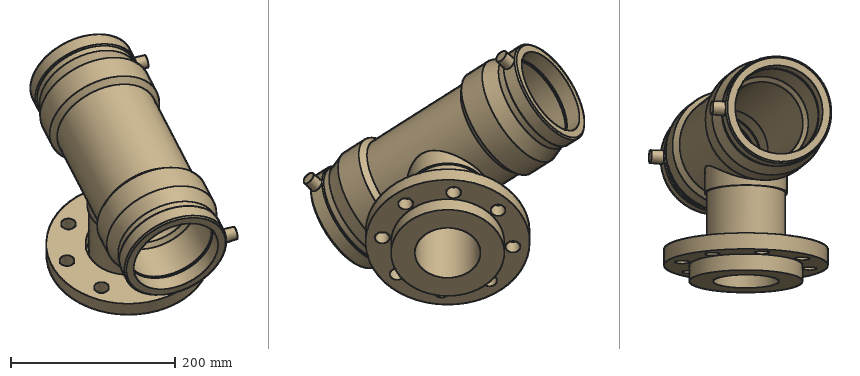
import cadquery as cq

length = 326.0
half_length = length / 2
pipe_radius = 129.0 / 2
ring_radius = 133.0 / 2
collar_radius = 143.0 / 2

ring_start = 2.0
ring_end = 19.2
groove_start = 20.5
groove_end = 29.0
collar_start = 49.0
collar_end = 81.8
collar_runout = collar_end + collar_radius - pipe_radius

socket_radius = 110.0 / 2
bore_radius = 99.0 / 2
inner_groove_radius = socket_radius + 0.3
inner_groove_start = 20.0
inner_groove_end = 22.5
socket_depth = 71.0
socket_taper_end = socket_depth + socket_radius - bore_radius

plug_base_radius = 18.0 / 2
plug_tip_radius = 16.0 / 2
plug_tip_y = 81.5
plug_base_y = 58.7
plug_x = half_length - (ring_start + ring_end) / 2

overall_height = 252.5
bottom_z = collar_radius - overall_height
plate_thickness = 20.0
stub_top_z = bottom_z + plate_thickness
saddle_radius = 100.0 / 2
branch_radius = 96.0 / 2
branch_bore_radius = 80.0 / 2
stub_radius = 138.0 / 2

flange_radius = 200.0 / 2
flange_hole_radius = 104.0 / 2
bolt_count = 8
bolt_circle_radius = 80.0
bolt_hole_diameter = 18.0


def revolve_about_x(points):
    """Revolve an (x, radius) profile, closed along the X axis."""
    profile = cq.Workplane("XY").polyline(points).close()
    return profile.revolve(360, (0, 0, 0), (1, 0, 0))


def mirrored_profile(end_steps):
    """Turn (distance from end, radius) steps into a profile symmetric about x = 0."""
    left = [(step - half_length, radius) for step, radius in end_steps]
    right = [(-x, radius) for x, radius in reversed(left)]
    return [(-half_length, 0)] + left + right + [(half_length, 0)]


def upright_cylinder(radius, low_z, high_z):
    return cq.Workplane("XY").workplane(offset=low_z).circle(radius).extrude(high_z - low_z)


def make_plug(x):
    plug = cq.Solid.makeCone(
        plug_base_radius,
        plug_tip_radius,
        plug_tip_y - plug_base_y,
        pnt=cq.Vector(x, plug_base_y, 0),
        dir=cq.Vector(0, 1, 0),
    )
    return cq.Workplane(obj=plug)


def make_flange():
    flange = upright_cylinder(flange_radius, stub_top_z, stub_top_z + plate_thickness)
    flange = flange.cut(upright_cylinder(flange_hole_radius, stub_top_z, stub_top_z + plate_thickness))
    bolt_holes = (
        cq.Workplane("XY")
        .workplane(offset=stub_top_z)
        .polarArray(bolt_circle_radius, 0, 360, bolt_count)
        .circle(bolt_hole_diameter / 2)
        .extrude(plate_thickness)
    )
    return flange.cut(bolt_holes)


outside = revolve_about_x(mirrored_profile([
    (0, pipe_radius),
    (ring_start, ring_radius),
    (ring_end, ring_radius),
    (groove_start, pipe_radius),
    (groove_end, pipe_radius),
    (collar_start, collar_radius),
    (collar_end, collar_radius),
    (collar_runout, pipe_radius),
]))
run_bore = revolve_about_x(mirrored_profile([
    (0, socket_radius),
    (inner_groove_start, socket_radius),
    (inner_groove_start, inner_groove_radius),
    (inner_groove_end, inner_groove_radius),
    (inner_groove_end, socket_radius),
    (socket_depth, socket_radius),
    (socket_taper_end, bore_radius),
]))

body = outside.union(upright_cylinder(saddle_radius, -collar_radius, 0))
body = body.union(upright_cylinder(branch_radius, bottom_z, 0))
body = body.union(upright_cylinder(stub_radius, bottom_z, stub_top_z))
body = body.union(make_flange())
for side in (-1, 1):
    body = body.union(make_plug(side * plug_x))

body = body.cut(run_bore)
result = body.cut(upright_cylinder(branch_bore_radius, bottom_z, 0))